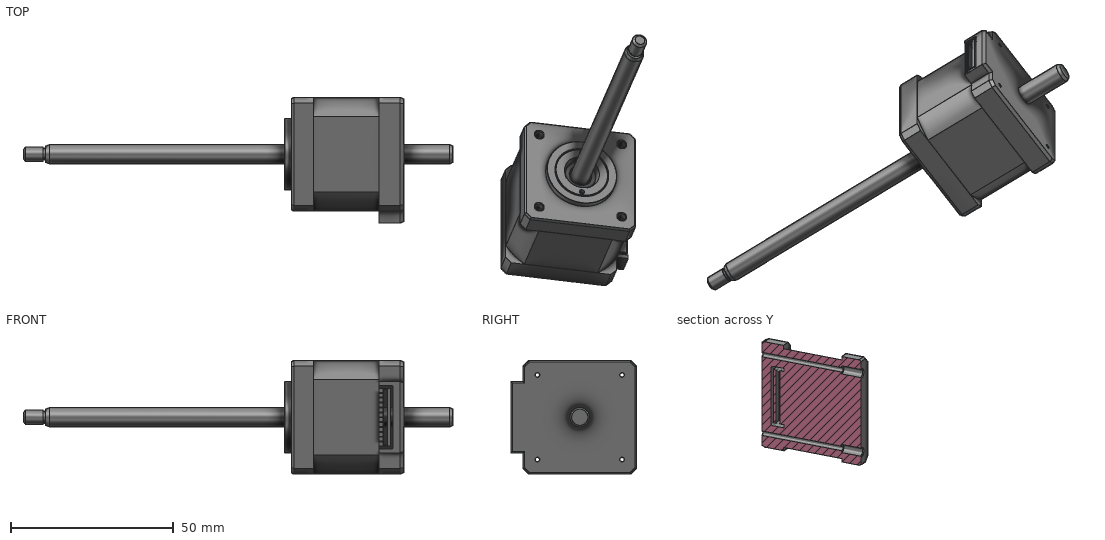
import cadquery as cq

body_size = 35.0
flange_end = 6.8
cap_start = 26.95
body_length = 34.6
plate_corner_chamfer = 1.8
core_size = 34.8
core_turned_diameter = 41.8
flange_bevel_length = 0.8
flange_bevel_depth = 0.4
cap_bevel_length = 1.1
cap_bevel_depth = 0.5

boss_diameter = 22.0
boss_height = 2.0
boss_chamfer = 0.1
boss_ring_outer = 16.9
boss_ring_inner = 16.3
boss_ring_depth = 0.3
spanner_hole_diameter = 1.5
spanner_hole_radius = 7.0
spanner_hole_depth = 1.5
nut_recess_mouth_diameter = 11.0
nut_recess_floor_diameter = 9.6
nut_recess_depth = 2.0
shaft_clearance_diameter = 7.0
shaft_clearance_depth = 4.0

bolt_spacing = 26.0
bolt_hole_diameter = 2.5
bolt_chamfer = 0.3
bolt_relief_diameter = 1.3

shaft_length = 132.0
shaft_front = -82.3
shaft_rear = shaft_front + shaft_length
shaft_radius = 3.0
shoulder_chamfer_length = 1.2
rear_chamfer_length = 1.0
shaft_chamfer_depth = 0.5
journal_radius = 2.25
journal_length = 6.0
journal_end = shaft_front + journal_length
tip_radius = 1.5
tip_chamfer_length = 0.6
relief_radius = 1.85
relief_length = 0.8
relief_end = journal_end + relief_length

connector_reach = 3.7
connector_width = 22.0
connector_front_y = -body_size / 2 - connector_reach
pocket_end = 31.25
pocket_width = 19.5
pocket_corner_radius = 0.5
header_end = 30.55
header_width = 17.8
header_setback = 0.2
header_front_y = connector_front_y + header_setback
slot_start = 28.3
slot_end = 29.65
slot_width = 17.2
contact_count = 12
contact_pitch = 1.5
contact_size = 1.2
contact_depth = 0.3
contact_x = 27.65


def rod(diameter, start, end):
    """Cylinder on the X axis between two X positions."""
    return cq.Workplane("YZ").workplane(offset=start).circle(diameter / 2).extrude(end - start)


def cone(start_diameter, end_diameter, start, end):
    """Truncated cone on the X axis between two X positions."""
    solid = cq.Solid.makeCone(
        start_diameter / 2, end_diameter / 2, end - start, cq.Vector(start, 0, 0), cq.Vector(1, 0, 0)
    )
    return cq.Workplane(solid)


def block(x_start, x_end, y_start, y_end, width):
    """Box between two X and two Y positions, centred on Z = 0."""
    return (
        cq.Workplane("XY")
        .box(x_end - x_start, y_end - y_start, width, centered=(False, False, True))
        .translate((x_start, y_start, 0))
    )


def end_plate(start, end):
    """Square plate with its four corners cut off at 45 degrees."""
    plate = block(start, end, -body_size / 2, body_size / 2, body_size)
    return plate.edges("|X").chamfer(plate_corner_chamfer)


def make_housing():
    flange = end_plate(0, flange_end)
    flange = flange.faces("<X").chamfer(flange_bevel_depth, flange_bevel_length)
    core = block(flange_end, cap_start, -core_size / 2, core_size / 2, core_size)
    core = core.intersect(rod(core_turned_diameter, flange_end, cap_start))
    cap = end_plate(cap_start, body_length)
    cap = cap.faces(">X").chamfer(cap_bevel_length, cap_bevel_depth)
    connector = block(cap_start, body_length, connector_front_y, 0, connector_width)
    connector = connector.faces(">X").edges("not >Y").chamfer(cap_bevel_depth, cap_bevel_length)
    cap = cap.union(connector)
    boss = rod(boss_diameter, -boss_height, 0).faces("<X").chamfer(boss_chamfer)
    return flange.union(core).union(cap).union(boss)


def cut_boss_details(part):
    front = -boss_height
    ring_end = front + boss_ring_depth
    ring = rod(boss_ring_outer, front, ring_end).cut(rod(boss_ring_inner, front, ring_end))
    part = part.cut(ring)
    nut_recess = cone(nut_recess_mouth_diameter, nut_recess_floor_diameter, front, front + nut_recess_depth)
    part = part.cut(nut_recess)
    part = part.cut(rod(shaft_clearance_diameter, front, front + shaft_clearance_depth))
    for side in (-1, 1):
        hole = rod(spanner_hole_diameter, front, front + spanner_hole_depth)
        part = part.cut(hole.translate((0, 0, side * spanner_hole_radius)))
    return part


def cut_mounting_holes(part):
    """Countersunk threads in the flange, continued as a smaller hole through the motor."""
    mouth = cone(bolt_hole_diameter + 2 * bolt_chamfer, bolt_hole_diameter, 0, bolt_chamfer)
    hole = mouth.union(rod(bolt_hole_diameter, bolt_chamfer, flange_end))
    hole = hole.union(rod(bolt_relief_diameter, flange_end, body_length))
    for y_side in (-1, 1):
        for z_side in (-1, 1):
            part = part.cut(hole.translate((0, y_side * bolt_spacing / 2, z_side * bolt_spacing / 2)))
    return part


def cut_connector_pocket(part):
    """Pocket open to -X and -Y that reaches in to the shaft axis."""
    pocket = block(cap_start, pocket_end, connector_front_y, 0, pocket_width)
    return part.cut(pocket.edges("|Y and >X").fillet(pocket_corner_radius))


def make_header():
    header = block(cap_start, header_end, header_front_y, 0, header_width)
    header = header.cut(block(slot_start, slot_end, header_front_y, 0, slot_width))
    contact = block(
        contact_x - contact_size / 2,
        contact_x + contact_size / 2,
        header_front_y,
        header_front_y + contact_depth,
        contact_size,
    )
    for index in range(contact_count):
        offset = (index - (contact_count - 1) / 2) * contact_pitch
        header = header.cut(contact.translate((0, 0, offset)))
    return header


def make_shaft():
    end_radius = shaft_radius - shaft_chamfer_depth
    return (
        cq.Workplane("XZ")
        .moveTo(shaft_front, 0)
        .lineTo(shaft_front, tip_radius)
        .lineTo(shaft_front + tip_chamfer_length, journal_radius)
        .lineTo(journal_end, journal_radius)
        .lineTo(journal_end, relief_radius)
        .lineTo(relief_end, relief_radius)
        .lineTo(relief_end, end_radius)
        .lineTo(relief_end + shoulder_chamfer_length, shaft_radius)
        .lineTo(shaft_rear - rear_chamfer_length, shaft_radius)
        .lineTo(shaft_rear, end_radius)
        .lineTo(shaft_rear, 0)
        .close()
        .revolve(360, (0, 0, 0), (1, 0, 0))
    )


housing = make_housing()
housing = cut_boss_details(housing)
housing = cut_mounting_holes(housing)
housing = cut_connector_pocket(housing)
result = housing.union(make_header()).union(make_shaft())